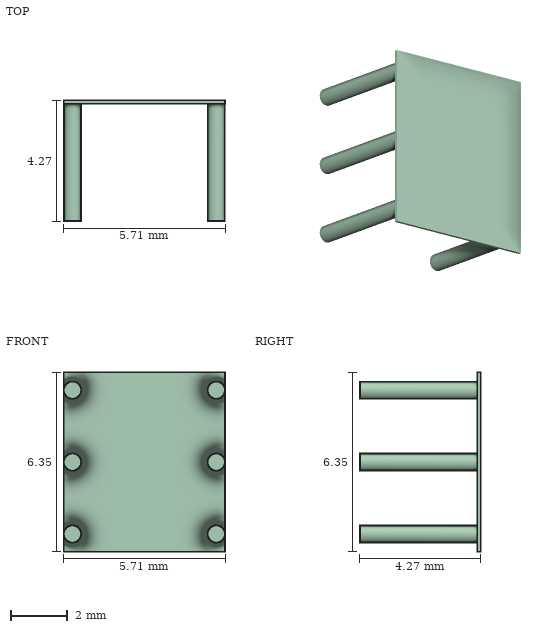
import cadquery as cq

plate_width = 5.71
plate_height = 6.35
plate_thickness = 0.13

overall_depth = 4.27
pin_diameter = 0.61
pin_length = overall_depth - plate_thickness
pin_pitch = 2.54
row_spacing = 2 * pin_pitch
pins_per_row = 3
row_count = 2

back_y = overall_depth / 2
pin_base_y = back_y - plate_thickness


def make_plate():
    """Thin rectangular plate, with its back face at back_y."""
    plate_center_y = back_y - plate_thickness / 2
    plate = cq.Workplane("XY").box(plate_width, plate_thickness, plate_height)
    return plate.translate((0, plate_center_y, 0))


def make_pins():
    """Two upright rows of pins, extruded from the plate front toward -Y."""
    return (
        cq.Workplane("XZ", origin=(0, pin_base_y, 0))
        .rarray(row_spacing, pin_pitch, row_count, pins_per_row)
        .circle(pin_diameter / 2)
        .extrude(pin_length)
    )


result = make_plate().union(make_pins())